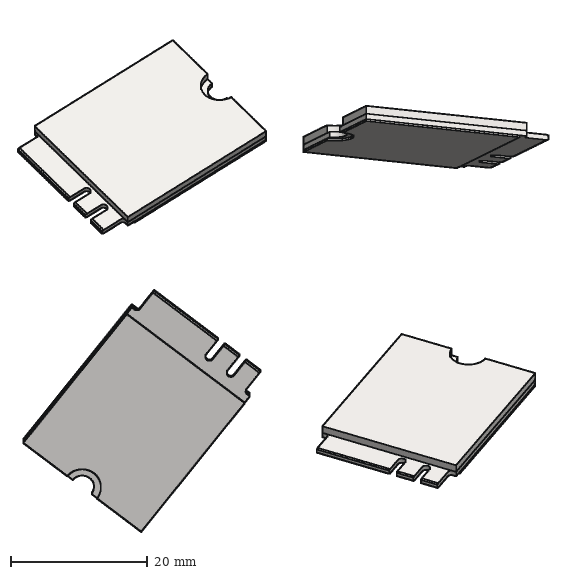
import cadquery as cq

LENGTH = 30.0
WIDTH = 22.0
TONGUE_LENGTH = 4.0
BODY_LENGTH = LENGTH - TONGUE_LENGTH

BOARD_THICKNESS = 0.8
COVER_THICKNESS = 1.2
BACKING_THICKNESS = 0.3
BACKING_SETBACK = 1.2

TONGUE_WIDTH = 19.85
SHOULDER_RADIUS = 0.5
TIP_BEVEL_LENGTH = 0.3
TIP_BEVEL_HEIGHT = 0.108
KEY_SLOT_WIDTH = 1.2
KEY_SLOT_DEPTH = 3.5
FIRST_KEY_X = 2.6
KEY_PITCH = 4.0
KEY_COUNT = 2

NOTCH_RADIUS = 1.75
SCREW_CLEARANCE_RADIUS = 2.75


def plate(width, front_y, rear_y, bottom_z, thickness):
    """Flat plate centred on X, between two Y positions."""
    return (
        cq.Workplane("XY", origin=(0, (front_y + rear_y) / 2, bottom_z))
        .rect(width, rear_y - front_y)
        .extrude(thickness)
    )


def rear_notch(radius, bottom_z, thickness):
    """Cylinder that cuts a half-round notch in the rear edge."""
    return (
        cq.Workplane("XY", origin=(0, BODY_LENGTH, bottom_z))
        .circle(radius)
        .extrude(thickness)
    )


def key_slot(center_x):
    """Round-ended slot cutter, open at the tip of the tongue."""
    slot_radius = KEY_SLOT_WIDTH / 2
    slot_end_y = KEY_SLOT_DEPTH - TONGUE_LENGTH
    arc_start_y = slot_end_y - slot_radius
    return (
        cq.Workplane("XY")
        .moveTo(center_x - slot_radius, -TONGUE_LENGTH)
        .lineTo(center_x - slot_radius, arc_start_y)
        .threePointArc((center_x, slot_end_y), (center_x + slot_radius, arc_start_y))
        .lineTo(center_x + slot_radius, -TONGUE_LENGTH)
        .close()
        .extrude(BOARD_THICKNESS)
    )


def tongue():
    """Connector tongue with bevels on both sides of its tip."""
    bevel_y = TIP_BEVEL_LENGTH - TONGUE_LENGTH
    side_profile = [
        (0, 0),
        (bevel_y, 0),
        (-TONGUE_LENGTH, TIP_BEVEL_HEIGHT),
        (-TONGUE_LENGTH, BOARD_THICKNESS - TIP_BEVEL_HEIGHT),
        (bevel_y, BOARD_THICKNESS),
        (0, BOARD_THICKNESS),
    ]
    return (
        cq.Workplane("YZ", origin=(-TONGUE_WIDTH / 2, 0, 0))
        .polyline(side_profile)
        .close()
        .extrude(TONGUE_WIDTH)
    )


def make_board():
    """Circuit board with its keyed connector tongue."""
    board = plate(WIDTH, 0, BODY_LENGTH, 0, BOARD_THICKNESS).union(tongue())
    shoulder_corners = cq.selectors.BoxSelector(
        (-WIDTH / 2 + SHOULDER_RADIUS, -SHOULDER_RADIUS, 0),
        (WIDTH / 2 - SHOULDER_RADIUS, SHOULDER_RADIUS, BOARD_THICKNESS),
    )
    board = board.edges("|Z").edges(shoulder_corners).fillet(SHOULDER_RADIUS)
    for index in range(KEY_COUNT):
        board = board.cut(key_slot(FIRST_KEY_X + index * KEY_PITCH))
    return board.cut(rear_notch(NOTCH_RADIUS, 0, BOARD_THICKNESS))


def make_cover():
    """Cover on the upper face, cut back around the mounting screw."""
    cover = plate(WIDTH, 0, BODY_LENGTH, BOARD_THICKNESS, COVER_THICKNESS)
    return cover.cut(rear_notch(SCREW_CLEARANCE_RADIUS, BOARD_THICKNESS, COVER_THICKNESS))


def make_backing():
    """Thin layer on the lower face, with the same screw clearance."""
    bottom_z = -BACKING_THICKNESS
    backing = plate(WIDTH, BACKING_SETBACK, BODY_LENGTH, bottom_z, BACKING_THICKNESS)
    return backing.cut(rear_notch(SCREW_CLEARANCE_RADIUS, bottom_z, BACKING_THICKNESS))


board = make_board()
cover = make_cover()
backing = make_backing()

result = cq.Compound.makeCompound([board.val(), cover.val(), backing.val()])